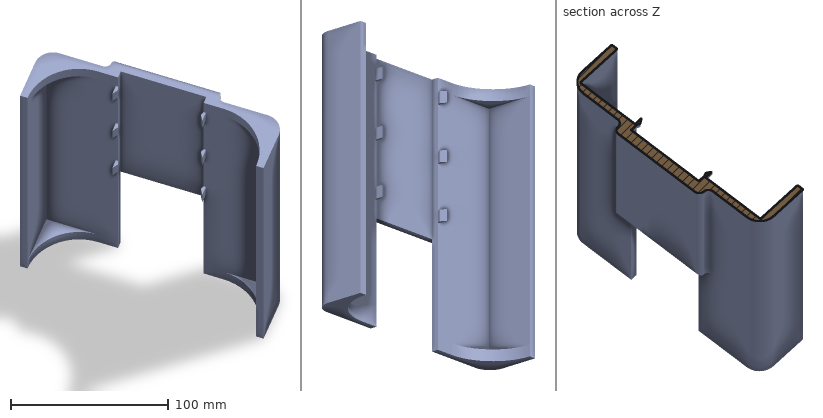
import cadquery as cq
import math

width = 165.0
height = 184.0
body_depth = 40.0
wall = 5.0
corner_radius = 12.0

rib_height = 8.0
rib_radius = body_depth - wall

panel_width = 74.0
panel_rise = 8.0
panel_height = 108.0
panel_edge_radius = panel_rise / 2
panel_root_radius = panel_rise / 2

slot_width = 58.0

clip_height = 8.0
clip_count = 3
clip_pitch = 40.0
clip_top_gap = 10.0
clip_root = 1.5
clip_length = 6.5
clip_embed = wall / 2
barb_reach = 1.0
barb_offset = 2.5
barb_tip_radius = 1.0

half_width = width / 2
half_slot = slot_width / 2
half_panel = panel_width / 2
wing_face_y = body_depth - wall
wall_x = half_width - wall
panel_bottom = height - panel_height
cos_45 = math.cos(math.pi / 4)


def make_wing(side, bottom, top, has_rib):
    """One L-shaped wing between two heights, its inside corner square or ribbed."""
    arc_center_x = wall_x - rib_radius
    outer_corner_x = half_width - corner_radius
    outer_corner_y = body_depth - corner_radius
    outline = (
        cq.Workplane("XY", origin=(0, 0, bottom))
        .moveTo(side * half_slot, wing_face_y)
        .lineTo(side * half_slot, body_depth)
        .lineTo(side * outer_corner_x, body_depth)
        .threePointArc(
            (
                side * (outer_corner_x + corner_radius * cos_45),
                outer_corner_y + corner_radius * cos_45,
            ),
            (side * half_width, outer_corner_y),
        )
        .lineTo(side * half_width, 0)
        .lineTo(side * wall_x, 0)
    )
    if has_rib:
        outline = outline.threePointArc(
            (side * (arc_center_x + rib_radius * cos_45), rib_radius * cos_45),
            (side * arc_center_x, wing_face_y),
        )
    else:
        outline = outline.lineTo(side * wall_x, wing_face_y)
    return outline.close().extrude(top - bottom)


def make_panel():
    """Panel with rounded rear edges and concave blends onto the backs of the wings."""
    panel = (
        cq.Workplane("XY", origin=(0, body_depth, panel_bottom))
        .box(panel_width, panel_rise, panel_height, centered=(True, False, False))
        .faces(">Y")
        .edges()
        .fillet(panel_edge_radius)
    )
    for side in (-1, 1):
        panel = panel.union(make_root_blend(side))
    return panel


def make_root_blend(side):
    """Concave blend at a panel side, backed by a strip that reaches inside the panel."""
    root_y = body_depth + panel_root_radius
    arc_inset = panel_root_radius * (1 - cos_45)
    return (
        cq.Workplane("XY", origin=(0, 0, panel_bottom))
        .moveTo(side * half_slot, body_depth)
        .lineTo(side * (half_panel + panel_root_radius), body_depth)
        .threePointArc(
            (side * (half_panel + arc_inset), body_depth + arc_inset),
            (side * half_panel, root_y),
        )
        .lineTo(side * half_slot, root_y)
        .close()
        .extrude(panel_height)
    )


def make_clip(side, bottom):
    """Snap clip with a rounded barb that overhangs the slot."""
    back_x = half_slot + clip_root
    root_y = wing_face_y + clip_embed
    barb_x = half_slot - barb_reach
    barb_side = "<X" if side > 0 else ">X"
    return (
        cq.Workplane("XY", origin=(0, 0, bottom))
        .moveTo(side * back_x, root_y)
        .lineTo(side * half_slot, root_y)
        .lineTo(side * half_slot, wing_face_y)
        .lineTo(side * barb_x, wing_face_y - barb_offset)
        .lineTo(side * back_x, wing_face_y - clip_length)
        .close()
        .extrude(clip_height)
        .edges("|Z")
        .edges(barb_side)
        .fillet(barb_tip_radius)
    )


result = make_panel()
for side in (-1, 1):
    result = result.union(make_wing(side, 0, rib_height, has_rib=True))
    result = result.union(make_wing(side, rib_height, height - rib_height, has_rib=False))
    result = result.union(make_wing(side, height - rib_height, height, has_rib=True))
    for index in range(clip_count):
        clip_top = height - clip_top_gap - index * clip_pitch
        result = result.union(make_clip(side, clip_top - clip_height))
result = result.clean()